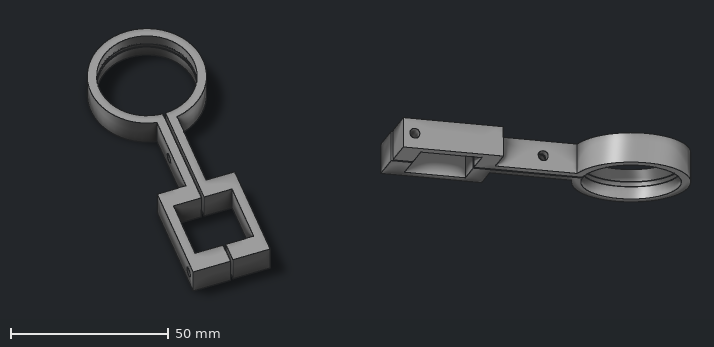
import cadquery as cq

length = 98.0
height = 10.0
gap = 0.9

ring_diameter = 38.0
bore_diameter = 31.9
groove_height = 1.7
groove_depth = 0.4

arm_width = 6.9

ring_radius = ring_diameter / 2
clamp_end = length - ring_radius
clamp_length = 33.3
clamp_width = 26.3
clamp_start = clamp_end - clamp_length
window_length = 20.1
window_width = 19.8
inner_wall = 6.3
window_start = clamp_start + inner_wall
rear_end_setback = 0.3

hole_diameter = 3.2
hole_positions = (29.9, 74.9)


def block(x_start, x_end, width):
    """Full-height block centred on the origin in Y and Z."""
    size_x = x_end - x_start
    return cq.Workplane("XY").box(size_x, width, height).translate((x_start + size_x / 2, 0, 0))


def disc(diameter, thickness):
    """Disc centred on the ring centre."""
    return cq.Workplane("XY").circle(diameter / 2).extrude(thickness / 2, both=True)


body = disc(ring_diameter, height)
body = body.union(block(0, clamp_start, arm_width))
body = body.union(block(clamp_start, clamp_end, clamp_width))

body = body.cut(disc(bore_diameter, height))
body = body.cut(disc(bore_diameter + 2 * groove_depth, groove_height))

body = body.cut(block(window_start, window_start + window_length, window_width))
body = body.cut(block(0, clamp_end, gap))

setback = block(clamp_end - rear_end_setback, clamp_end, clamp_width)
body = body.cut(setback.translate((0, clamp_width / 2, 0)))

holes = (
    cq.Workplane("XZ")
    .pushPoints([(x, 0) for x in hole_positions])
    .circle(hole_diameter / 2)
    .extrude(clamp_width, both=True)
)
result = body.cut(holes)